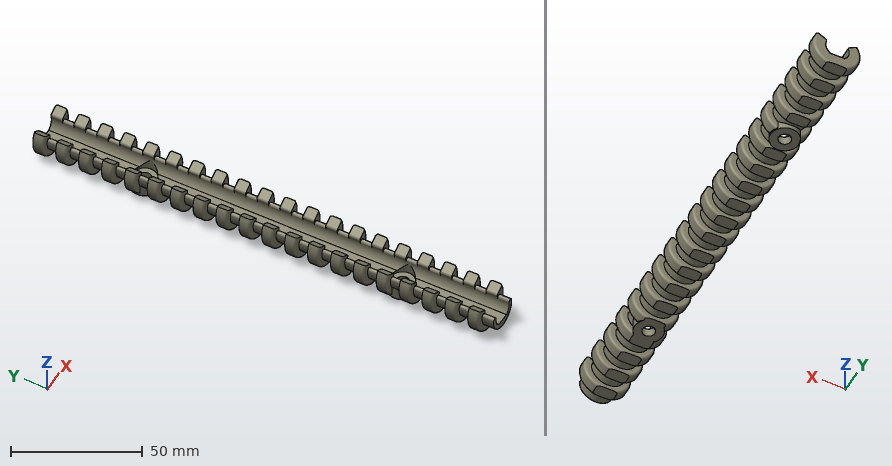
import cadquery as cq
import math

length = 200.0
bore_radius = 5.0
bore_floor_z = -4.0
core_radius = 7.0
lip_angle = math.radians(7)

rib_radius = 10.0
rib_width = 5.0
rib_pitch = 10.0
rib_count = 20
rib_angle = math.radians(30)
rib_edge_fillet = 1.0
rib_tip_fillet = 1.0
base_z = -9.0

hole_diameter = 5.2
counterbore_diameter = 10.0
boss_diameter = 12.0
hole_spacing = 112.5
counterbore_floor_z = -5.0

back_y = length / 2
hole_positions = [(0, hole_spacing / 2), (0, -hole_spacing / 2)]


def polar(radius, angle):
    """(X, Z) point at an angle above horizontal."""
    return (radius * math.cos(angle), radius * math.sin(angle))


def mirrored(point):
    """The same (X, Z) point on the -X side."""
    return (-point[0], point[1])


def rod(radius, back, depth):
    """Solid cylinder running from Y = back towards -Y."""
    return cq.Workplane("XZ", origin=(0, back, 0)).circle(radius).extrude(depth)


def make_bore():
    """Round bore with a flat floor."""
    above_floor = (
        cq.Workplane("XY", origin=(0, 0, bore_floor_z))
        .rect(2 * bore_radius, length)
        .extrude(2 * bore_radius)
    )
    return rod(bore_radius, back_y, length).intersect(above_floor)


def make_opening(angle):
    """Wedge above two radial planes that rise from the bore axis at the given angle."""
    reach = 2 * rib_radius
    side_z = reach * math.tan(angle)
    outline = [(0, 0), (reach, side_z), (reach, reach), (-reach, reach), (-reach, side_z)]
    return cq.Workplane("XZ", origin=(0, back_y, 0)).polyline(outline).close().extrude(length)


def make_core():
    """Channel before boring: a solid bar whose lips are rounded from outer wall to bore."""
    outer_lip = polar(core_radius, lip_angle)
    inner_lip = polar(bore_radius, lip_angle)
    lip_center = polar((core_radius + bore_radius) / 2, lip_angle)
    apex_offset = polar((core_radius - bore_radius) / 2, lip_angle + math.pi / 2)
    lip_apex = (lip_center[0] + apex_offset[0], lip_center[1] + apex_offset[1])
    return (
        cq.Workplane("XZ", origin=(0, back_y, 0))
        .moveTo(*mirrored(outer_lip))
        .threePointArc((0, -core_radius), outer_lip)
        .threePointArc(lip_apex, inner_lip)
        .lineTo(0, 0)
        .lineTo(*mirrored(inner_lip))
        .threePointArc(mirrored(lip_apex), mirrored(outer_lip))
        .close()
        .extrude(length)
    )


def make_rib(back):
    """One rib before boring, with rounded rims, radial tips and a flat base; its +Y face is at Y = back."""
    ring = rod(rib_radius, back, rib_width).faces("|Y").edges().fillet(rib_edge_fillet)
    below_base = (
        cq.Workplane("XY", origin=(0, 0, base_z))
        .rect(2 * rib_radius, length)
        .extrude(-rib_radius)
    )
    return ring.cut(below_base).cut(make_opening(rib_angle))


def round_rib_tips(body):
    """Round the inner tip edges, the lengthwise edges where the rib tips meet the bore."""
    tip_x, tip_z = polar(bore_radius, rib_angle)
    margin = rib_tip_fillet / 10
    tip_edges = cq.selectors.BoxSelector(
        (-tip_x - margin, -back_y, tip_z - margin),
        (tip_x + margin, back_y, tip_z + margin),
    )
    return body.edges("|Y").edges(tip_edges).fillet(rib_tip_fillet)


def pins(diameter, bottom_z, top_z):
    """Vertical cylinder at each screw hole."""
    return (
        cq.Workplane("XY", origin=(0, 0, bottom_z))
        .pushPoints(hole_positions)
        .circle(diameter / 2)
        .extrude(top_z - bottom_z)
    )


body = make_core()
first_rib = make_rib(back_y)
for index in range(rib_count):
    body = body.union(first_rib.translate((0, -index * rib_pitch, 0)))
body = body.union(pins(boss_diameter, base_z, 0))
body = round_rib_tips(body.cut(make_bore()))
body = body.cut(pins(counterbore_diameter, counterbore_floor_z, 0))
result = body.cut(pins(hole_diameter, base_z, counterbore_floor_z))